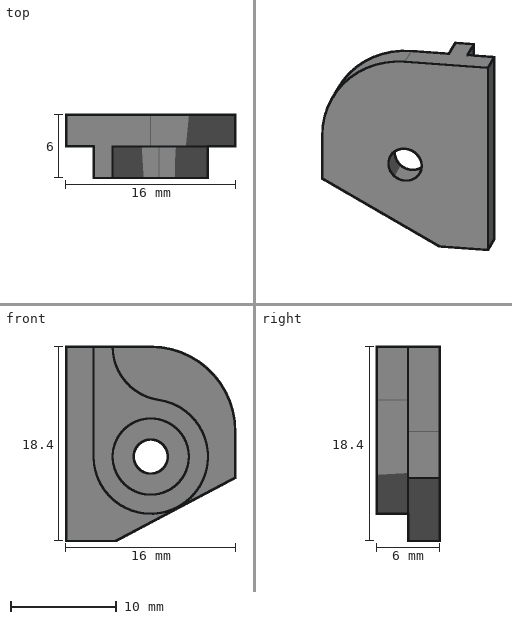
import cadquery as cq
import math

width = 16.0
height = 18.39
plate_thickness = 3.0
corner_radius = width / 2
slope_start_x = 4.67
slope_end_z = 6.0

boss_height = 3.0
boss_radius = 5.4
boss_x = width / 2
boss_z = 8.0
rib_width = 1.8
rib_left = boss_x - boss_radius
rib_right = rib_left + rib_width

hole_diameter = 3.2
counterbore_diameter = 7.2
counterbore_depth = 3.0

rise = height - boss_z
rib_offset = boss_x - rib_right
blend_radius = (rise**2 + rib_offset**2 - boss_radius**2) / (2 * (boss_radius + rib_offset))
blend_x = rib_right + blend_radius
blend_angle = math.atan2(rise, blend_x - boss_x)


def point_on_circle(center_x, center_z, radius, angle):
    return (center_x + radius * math.cos(angle), center_z + radius * math.sin(angle))


def make_plate():
    corner_mid = point_on_circle(
        width - corner_radius, height - corner_radius, corner_radius, math.pi / 4
    )
    outline = (
        cq.Workplane("XZ")
        .moveTo(0, 0)
        .lineTo(slope_start_x, 0)
        .lineTo(width, slope_end_z)
        .lineTo(width, height - corner_radius)
        .threePointArc(corner_mid, (width - corner_radius, height))
        .lineTo(0, height)
        .close()
    )
    return outline.extrude(-plate_thickness)


def make_boss():
    blend_end = point_on_circle(boss_x, boss_z, boss_radius, blend_angle)
    blend_mid = point_on_circle(blend_x, height, blend_radius, math.pi + blend_angle / 2)
    boss_mid = point_on_circle(boss_x, boss_z, boss_radius, (blend_angle - math.pi) / 2)
    outline = (
        cq.Workplane("XZ")
        .moveTo(rib_left, height)
        .lineTo(rib_right, height)
        .threePointArc(blend_mid, blend_end)
        .threePointArc(boss_mid, (rib_left, boss_z))
        .close()
    )
    return outline.extrude(boss_height)


def make_stepped_hole():
    front = cq.Workplane("XZ", origin=(boss_x, -boss_height, boss_z))
    through_hole = front.circle(hole_diameter / 2).extrude(-(boss_height + plate_thickness))
    counterbore = front.circle(counterbore_diameter / 2).extrude(-counterbore_depth)
    return through_hole.union(counterbore)


result = make_plate().union(make_boss()).cut(make_stepped_hole())